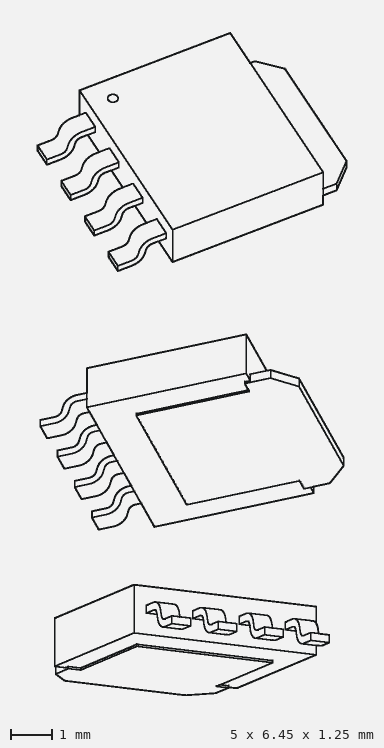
import cadquery as cq
import math

HOUSING_WIDTH = 5.0
HOUSING_LENGTH = 4.08
HOUSING_HEIGHT = 1.2

TAB_WIDTH = 4.39
TAB_THICKNESS = 0.25
TAB_STANDOFF = 0.05
TAB_OVERHANG = 1.06
TAB_CHAMFER = 0.54
TAB_SHOULDER_DEPTH = 0.15
PAD_WIDTH = 3.73
PAD_DEPTH = 3.04

LEAD_COUNT = 4
LEAD_PITCH = 1.27
LEAD_WIDTH = 0.51
LEAD_THICKNESS = 0.195
LEAD_REACH = 1.31
LEAD_TOP = 0.72
SHOULDER_LENGTH = 0.375
BEND_INNER_RADIUS = 0.175
BEND_ANGLE = math.radians(75)

MARKER_DIAMETER = 0.25
MARKER_DEPTH = 0.05
MARKER_SETBACK = 0.605

FIRST_LEAD_X = -(LEAD_COUNT - 1) / 2 * LEAD_PITCH


def make_tab():
    """Flat plate with chamfered back corners and a narrower pad under the housing."""
    back_y = HOUSING_LENGTH + TAB_OVERHANG
    shoulder_y = HOUSING_LENGTH - TAB_SHOULDER_DEPTH
    pad_y = HOUSING_LENGTH - PAD_DEPTH
    half_tab = TAB_WIDTH / 2
    half_pad = PAD_WIDTH / 2
    right_side = [
        (half_pad, pad_y),
        (half_pad, shoulder_y),
        (half_tab, shoulder_y),
        (half_tab, back_y - TAB_CHAMFER),
        (half_tab - TAB_CHAMFER, back_y),
    ]
    left_side = [(-x, y) for x, y in reversed(right_side)]
    return (
        cq.Workplane("XY", origin=(0, 0, -TAB_STANDOFF))
        .polyline(right_side + left_side)
        .close()
        .extrude(TAB_THICKNESS)
    )


def make_marker():
    """Pin-one disc, in line with the first lead."""
    return (
        cq.Workplane("XY", origin=(FIRST_LEAD_X, MARKER_SETBACK, HOUSING_HEIGHT - MARKER_DEPTH))
        .circle(MARKER_DIAMETER / 2)
        .extrude(MARKER_DEPTH)
    )


def make_housing(tab, marker):
    """Moulded block with matching recesses for the tab and the marker."""
    block = cq.Workplane("XY").box(
        HOUSING_WIDTH, HOUSING_LENGTH, HOUSING_HEIGHT, centered=(True, False, False)
    )
    return block.cut(tab).cut(marker)


def make_lead(center_x):
    """Gull-wing lead: flat shoulder, two opposite bends joined by a straight slope, flat foot."""
    outer_radius = BEND_INNER_RADIUS + LEAD_THICKNESS
    upper_center = (-SHOULDER_LENGTH, LEAD_TOP - outer_radius)

    bends_drop = (outer_radius + BEND_INNER_RADIUS) * (1 - math.cos(BEND_ANGLE))
    slope_drop = LEAD_TOP - LEAD_THICKNESS - bends_drop
    slope_run = slope_drop / math.tan(BEND_ANGLE)
    bends_run = (outer_radius + BEND_INNER_RADIUS) * math.sin(BEND_ANGLE)
    lower_center = (upper_center[0] - bends_run - slope_run, outer_radius)

    def upper_point(radius, angle):
        return (
            upper_center[0] - radius * math.sin(angle),
            upper_center[1] + radius * math.cos(angle),
        )

    def lower_point(radius, angle):
        return (
            lower_center[0] + radius * math.sin(angle),
            lower_center[1] - radius * math.cos(angle),
        )

    half_angle = BEND_ANGLE / 2
    profile = (
        cq.Workplane("YZ", origin=(center_x, 0, 0))
        .moveTo(0, LEAD_TOP)
        .lineTo(*upper_point(outer_radius, 0))
        .threePointArc(upper_point(outer_radius, half_angle), upper_point(outer_radius, BEND_ANGLE))
        .lineTo(*lower_point(BEND_INNER_RADIUS, BEND_ANGLE))
        .threePointArc(lower_point(BEND_INNER_RADIUS, half_angle), lower_point(BEND_INNER_RADIUS, 0))
        .lineTo(-LEAD_REACH, LEAD_THICKNESS)
        .lineTo(-LEAD_REACH, 0)
        .lineTo(*lower_point(outer_radius, 0))
        .threePointArc(lower_point(outer_radius, half_angle), lower_point(outer_radius, BEND_ANGLE))
        .lineTo(*upper_point(BEND_INNER_RADIUS, BEND_ANGLE))
        .threePointArc(upper_point(BEND_INNER_RADIUS, half_angle), upper_point(BEND_INNER_RADIUS, 0))
        .lineTo(0, LEAD_TOP - LEAD_THICKNESS)
        .close()
    )
    return profile.extrude(LEAD_WIDTH / 2, both=True)


tab = make_tab()
marker = make_marker()
leads = [make_lead(FIRST_LEAD_X + i * LEAD_PITCH) for i in range(LEAD_COUNT)]
housing = make_housing(tab, marker)

result = cq.Compound.makeCompound(
    [housing.val(), tab.val(), marker.val(), *[lead.val() for lead in leads]]
)